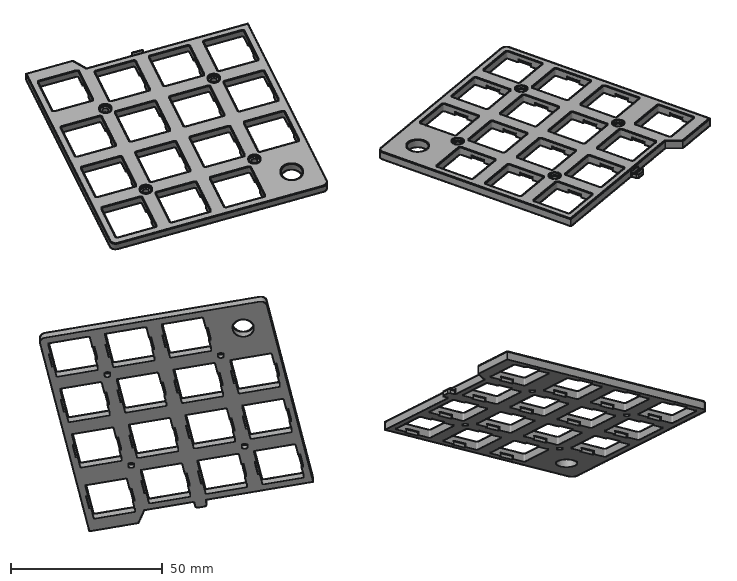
import cadquery as cq
import math

length = 80.9
width = 76.3
thickness = 3.0
right = length / 2
left = -length / 2
unit = width / 4
shoulder_x = -35.7
shoulder_top_y = -18.6
shoulder_bottom_y = -21.6
corner_radius = 2.0

rim_width = 0.3
rim_angle = 30.0
rim_depth = rim_width * math.tan(math.radians(rim_angle))

key_count = 4
window = 14.0
window_radius = 0.5
wide_key_shift = unit / 8
clip_width = 5.0
clip_depth = 0.65
clip_height = 1.2

screw_hole = 2.0
screw_head = 3.6
screw_head_depth = 1.0
round_hole = 7.0

lug_length = 2.6
nose_width = 2.75
nose_height = 1.3
barb_bevel = 0.6
barb_crest = 0.2
root_rise = 0.6
root_flare = 0.3

grid_x = right - width / 2


def grid_position(index):
    """Distance of a row or column of keys from the middle of the grid."""
    return (index - (key_count - 1) / 2) * unit


def box(size_x, size_y, size_z):
    """Box centred on the Z axis that stands on Z = 0."""
    return cq.Workplane("XY").box(size_x, size_y, size_z, (True, True, False))


def plate():
    """Square plate with rounded right corners and a wider strip along the bottom row of keys."""
    outline = [
        (left, -width / 2),
        (right, -width / 2),
        (right, width / 2),
        (shoulder_x, width / 2),
        (shoulder_x, shoulder_top_y),
        (left, shoulder_bottom_y),
    ]
    body = cq.Workplane("XY").polyline(outline).close().extrude(thickness)
    body = body.edges("|Z and >X").fillet(corner_radius)
    return body.faces(">Z").chamfer(rim_width, rim_depth)


def key_window():
    """Square opening with a chamfered rim and clip recesses under its front and back walls."""
    opening = box(window, window, thickness).edges("|Z").fillet(window_radius)
    rim_side = window + 2 * rim_width
    rim_sketch = cq.Sketch().rect(rim_side, rim_side).vertices().fillet(window_radius + rim_width)
    rim = (
        cq.Workplane("XY", origin=(0, 0, thickness))
        .placeSketch(rim_sketch)
        .extrude(-rim_depth, taper=90 - rim_angle)
    )
    clips = box(clip_width, window + 2 * clip_depth, clip_height)
    return opening.union(rim).union(clips)


def round_cut(diameter, bottom_z):
    """Round hole from bottom_z up to the top face, with a chamfered rim."""
    radius = diameter / 2
    profile = [
        (0, bottom_z),
        (radius, bottom_z),
        (radius, thickness - rim_depth),
        (radius + rim_width, thickness),
        (0, thickness),
    ]
    return cq.Workplane("XZ").polyline(profile).close().revolve()


def screw_cut():
    """Through hole with a counterbore for the screw head."""
    shank = cq.Workplane("XY").circle(screw_hole / 2).extrude(thickness)
    return shank.union(round_cut(screw_head, thickness - screw_head_depth))


def lug():
    """Snap lug, built as the overlap of its plan outline and its side profile."""
    nose_x = shoulder_x - lug_length
    barb_x = nose_x + barb_bevel
    crest_end_x = barb_x + barb_crest
    overlap_x = shoulder_x + rim_width
    half_nose = nose_width / 2
    half_barb = half_nose + barb_bevel
    half_root = half_barb + root_flare
    half_plan = [
        (nose_x, half_nose),
        (barb_x, half_barb),
        (shoulder_x - root_flare, half_barb),
        (shoulder_x, half_root),
        (overlap_x, half_root),
    ]
    other_half = [(x, -y) for x, y in reversed(half_plan)]
    side = [
        (nose_x, 0),
        (nose_x, nose_height),
        (barb_x, nose_height + barb_bevel),
        (crest_end_x, nose_height + barb_bevel),
        (crest_end_x + barb_bevel, nose_height),
        (shoulder_x - root_rise, nose_height),
        (shoulder_x, nose_height + root_rise),
        (overlap_x, nose_height + root_rise),
        (overlap_x, 0),
    ]
    plan_prism = cq.Workplane("XY").polyline(half_plan + other_half).close().extrude(thickness)
    side_prism = cq.Workplane("XZ").polyline(side).close().extrude(half_root, both=True)
    return plan_prism.intersect(side_prism)


result = plate().union(lug())

for row in range(key_count):
    for column in range(key_count):
        x = grid_x + grid_position(column)
        y = grid_position(row)
        cutter = key_window()
        if row == 0 and column == 0:
            x -= wide_key_shift
        if row == key_count - 1 and column == key_count - 1:
            cutter = round_cut(round_hole, 0)
        result = result.cut(cutter.translate((x, y, 0)))

for side_x in (-unit, unit):
    for side_y in (-unit, unit):
        result = result.cut(screw_cut().translate((grid_x + side_x, side_y, 0)))